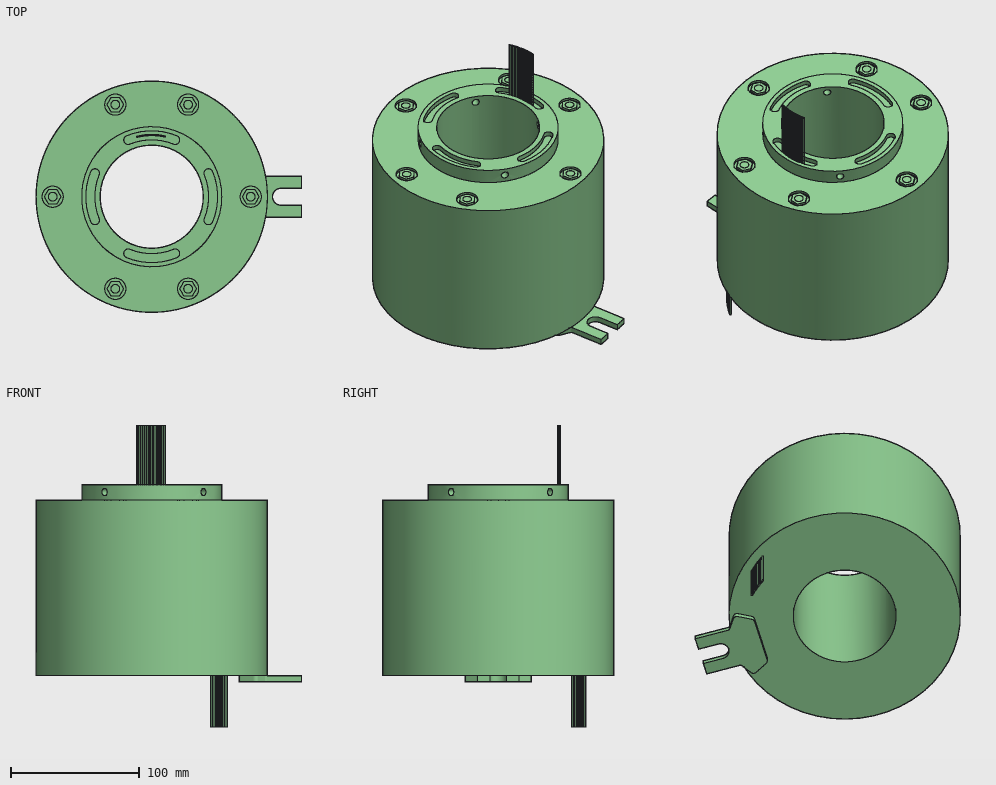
import cadquery as cq
import math

body_diameter = 180.0
body_height = 136.5
flange_diameter = 109.0
flange_height = 12.0
bore_diameter = 80.0
flange_top = body_height + flange_height

slot_count = 4
slot_radius = 47.75
slot_width = 7.0
slot_half_angle = 22.5
slot_depth = 4.0

set_screw_count = 4
set_screw_diameter = 5.6
set_screw_start_angle = 47.7
set_screw_drop = 5.8

bolt_x = 77.0
bolt_pair_x = 28.3
bolt_pair_y = 71.6
bolt_recess_diameter = 16.5
bolt_recess_depth = 2.0
bolt_hex_flats = 11.3
bolt_dimple_diameter = 6.8
bolt_dimple_depth = 0.1

bracket_thickness = 5.0
bracket_inner_x = 67.9
bracket_tip_x = 116.5
bracket_arm_half_width = 16.0
bracket_inner_half_width = 19.2
bracket_ear = (81.5, 26.7)
bracket_neck_x = 88.7
bracket_corner_radius = 3.0
bracket_neck_radius = 2.0
fork_width = 13.0
fork_end_x = 94.0

upper_wire_count = 22
upper_wire_diameter = 1.0
upper_wire_pitch = 1.03
upper_wire_radius = 48.0
upper_wire_angle = 90.6
upper_wire_length = 46.0
lower_wire_count = 11
lower_wire_diameter = 1.45
lower_wire_pitch = 1.53
lower_wire_radius = 82.0
lower_wire_angle = 50.0
lower_wire_length = 40.0


def polar(radius, angle):
    """Point in the XY plane at a radius and an angle in degrees."""
    return (radius * math.cos(math.radians(angle)), radius * math.sin(math.radians(angle)))


def cylinder(diameter, bottom, height):
    return cq.Workplane("XY").workplane(offset=bottom).circle(diameter / 2).extrude(height)


def make_drum():
    drum = cylinder(body_diameter, 0, body_height)
    drum = drum.union(cylinder(flange_diameter, body_height, flange_height))
    return drum.cut(cylinder(bore_diameter, 0, flange_top))


def arc_slot(middle_angle):
    """Slot with round ends that follows a circle about the Z axis."""
    start = middle_angle - slot_half_angle
    end = middle_angle + slot_half_angle
    inner = slot_radius - slot_width / 2
    outer = slot_radius + slot_width / 2

    def cap_tip(angle, direction):
        centre = polar(slot_radius, angle)
        tip = polar(slot_width / 2, angle + direction * 90)
        return (centre[0] + tip[0], centre[1] + tip[1])

    return (
        cq.Workplane("XY")
        .workplane(offset=flange_top - slot_depth)
        .moveTo(*polar(outer, start))
        .threePointArc(polar(outer, middle_angle), polar(outer, end))
        .threePointArc(cap_tip(end, 1), polar(inner, end))
        .threePointArc(polar(inner, middle_angle), polar(inner, start))
        .threePointArc(cap_tip(start, -1), polar(outer, start))
        .close()
        .extrude(slot_depth)
    )


def cut_slots(part):
    for index in range(slot_count):
        part = part.cut(arc_slot(index * 360 / slot_count))
    return part


def cut_set_screw_holes(part):
    hole = (
        cq.Workplane("YZ")
        .center(0, flange_top - set_screw_drop)
        .circle(set_screw_diameter / 2)
        .extrude(flange_diameter / 2)
    )
    for index in range(set_screw_count):
        angle = set_screw_start_angle + index * 360 / set_screw_count
        part = part.cut(hole.rotate((0, 0, 0), (0, 0, 1), angle))
    return part


def add_bolts(part):
    """Round recesses, each holding a hexagon head flush with the body top."""
    positions = [(side * bolt_x, 0) for side in (-1, 1)]
    positions += [(sx * bolt_pair_x, sy * bolt_pair_y) for sx in (-1, 1) for sy in (-1, 1)]
    hex_corners = bolt_hex_flats / math.cos(math.radians(30))
    recess_floor = cq.Workplane("XY").workplane(offset=body_height - bolt_recess_depth)
    groove = (
        recess_floor.pushPoints(positions).circle(bolt_recess_diameter / 2).extrude(bolt_recess_depth)
        .cut(recess_floor.pushPoints(positions).polygon(6, hex_corners).extrude(bolt_recess_depth))
    )
    dimples = (
        cq.Workplane("XY")
        .workplane(offset=body_height - bolt_dimple_depth)
        .pushPoints(positions)
        .circle(bolt_dimple_diameter / 2)
        .extrude(bolt_dimple_depth)
    )
    return part.cut(groove).cut(dimples)


def make_bracket():
    """Flat plate with two ears under the body and a forked arm pointing along +X."""
    ear_x, ear_y = bracket_ear
    half_outline = [
        (bracket_inner_x, bracket_inner_half_width),
        (ear_x, ear_y),
        (bracket_neck_x, bracket_arm_half_width),
        (bracket_tip_x, bracket_arm_half_width),
    ]
    mirrored = [(x, -y) for x, y in reversed(half_outline)]
    plate = (
        cq.Workplane("XY")
        .workplane(offset=-bracket_thickness)
        .polyline(half_outline + mirrored)
        .close()
        .extrude(bracket_thickness)
    )

    def upright_edges_at(x):
        reach = 0.1
        selector = cq.selectors.BoxSelector(
            (x - reach, -body_diameter, -body_diameter), (x + reach, body_diameter, body_diameter)
        )
        return plate.edges("|Z").edges(selector)

    for x in (bracket_inner_x, ear_x):
        plate = upright_edges_at(x).fillet(bracket_corner_radius)
    plate = upright_edges_at(bracket_neck_x).fillet(bracket_neck_radius)

    fork_centre_x = fork_end_x + fork_width / 2
    fork = (
        cq.Workplane("XY")
        .workplane(offset=-bracket_thickness)
        .moveTo(bracket_tip_x, fork_width / 2)
        .lineTo(fork_centre_x, fork_width / 2)
        .threePointArc((fork_end_x, 0), (fork_centre_x, -fork_width / 2))
        .lineTo(bracket_tip_x, -fork_width / 2)
        .close()
        .extrude(bracket_thickness)
    )
    return plate.cut(fork)


def add_ribbon(part, count, diameter, pitch, radius, middle_angle, bottom, length):
    """Row of upright wires spaced evenly on a circle about the Z axis."""
    step = 2 * math.degrees(math.asin(pitch / 2 / radius))
    for index in range(count):
        angle = middle_angle + (index - (count - 1) / 2) * step
        wire = cylinder(diameter, bottom, length).translate((*polar(radius, angle), 0))
        part = part.union(wire)
    return part


part = make_drum()
part = cut_slots(part)
part = cut_set_screw_holes(part)
part = add_bolts(part)
part = part.union(make_bracket())
part = add_ribbon(
    part, upper_wire_count, upper_wire_diameter, upper_wire_pitch, upper_wire_radius, upper_wire_angle,
    flange_top - slot_depth, slot_depth + upper_wire_length,
)
part = add_ribbon(
    part, lower_wire_count, lower_wire_diameter, lower_wire_pitch, lower_wire_radius, lower_wire_angle,
    -lower_wire_length, lower_wire_length,
)
result = part